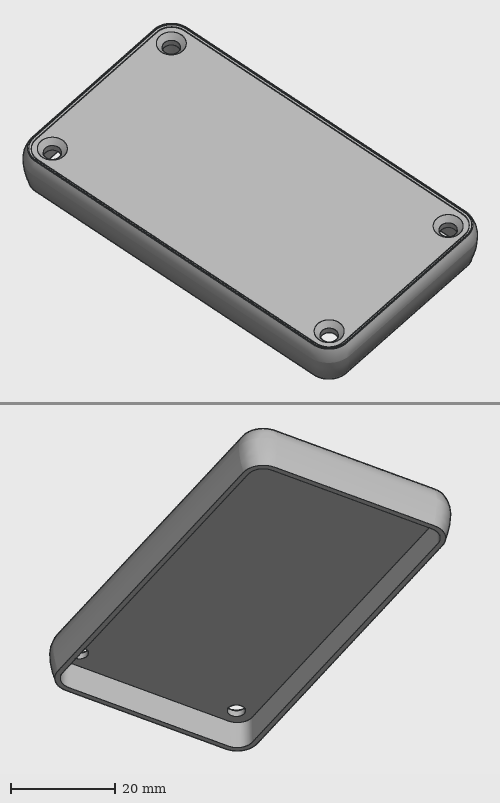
import cadquery as cq
import math

length = 81.1
width = 46.2
height = 9.0

corner_radius = 5.35
belt_height = 5.9
top_inset = 0.9
bottom_inset = 1.0

ledge_inset = 1.1
ledge_depth = 0.2
recess_inset = 1.6
recess_depth = 0.3
floor_height = height - recess_depth

band_height = 0.25

cavity_inset = 2.0
roof_thickness = 2.5

hole_x = 35.05
hole_y = 17.45
hole_diameter = 3.5
sink_diameter = 5.8
sink_angle = 90


def rounded_block(inset, bottom, thickness):
    """Block with rounded corners, its outline set in from the belt outline."""
    return (
        cq.Workplane("XY")
        .workplane(offset=bottom)
        .rect(length - 2 * inset, width - 2 * inset)
        .extrude(thickness)
        .edges("|Z")
        .fillet(corner_radius - inset)
    )


def arc_radius(rise, inset):
    """Radius of an arc that leaves the belt vertically and is set in after the given rise."""
    return (rise**2 + inset**2) / (2 * inset)


def arc_middle(rise, inset):
    """Inset and rise halfway along that arc."""
    radius = arc_radius(rise, inset)
    half_angle = math.asin(rise / radius) / 2
    return radius * (1 - math.cos(half_angle)), radius * math.sin(half_angle)


def side_profile():
    """Section of the wall from the corner axis outward, drawn in the local radius-height plane."""
    top_rise = height - belt_height
    upper_inset, upper_rise = arc_middle(top_rise, top_inset)
    lower_inset, lower_drop = arc_middle(belt_height - band_height, bottom_inset)
    return (
        cq.Workplane("XZ")
        .moveTo(0, 0)
        .lineTo(corner_radius - bottom_inset, 0)
        .lineTo(corner_radius - bottom_inset, band_height)
        .threePointArc(
            (corner_radius - lower_inset, belt_height - lower_drop),
            (corner_radius, belt_height),
        )
        .threePointArc(
            (corner_radius - upper_inset, belt_height + upper_rise),
            (corner_radius - top_inset, height),
        )
        .lineTo(0, height)
        .close()
    )


def bulged_body():
    """Solid outer shape: a core box, two pairs of bulged walls and four revolved corners."""
    corner_x = length / 2 - corner_radius
    corner_y = width / 2 - corner_radius
    body = cq.Workplane("XY").box(2 * corner_x, 2 * corner_y, height, centered=(True, True, False))

    end_wall = side_profile().extrude(corner_y, both=True).translate((corner_x, 0, 0))
    long_wall = (
        side_profile()
        .extrude(corner_x, both=True)
        .rotate((0, 0, 0), (0, 0, 1), 90)
        .translate((0, corner_y, 0))
    )
    for wall in (end_wall, long_wall):
        body = body.union(wall).union(wall.rotate((0, 0, 0), (0, 0, 1), 180))

    corner = side_profile().revolve(360, (0, 0, 0), (0, 1, 0))
    for x in (-corner_x, corner_x):
        for y in (-corner_y, corner_y):
            body = body.union(corner.translate((x, y, 0)))
    return body.clean()


top_recess = rounded_block(recess_inset, floor_height, recess_depth)
ledge = rounded_block(ledge_inset, height - ledge_depth, ledge_depth)
cavity = rounded_block(cavity_inset, 0, floor_height - roof_thickness)
hole_points = [(x, y) for x in (-hole_x, hole_x) for y in (-hole_y, hole_y)]

result = (
    bulged_body()
    .cut(top_recess)
    .cut(ledge)
    .cut(cavity)
    .copyWorkplane(cq.Workplane("XY", origin=(0, 0, floor_height)))
    .pushPoints(hole_points)
    .cskHole(hole_diameter, sink_diameter, sink_angle)
)